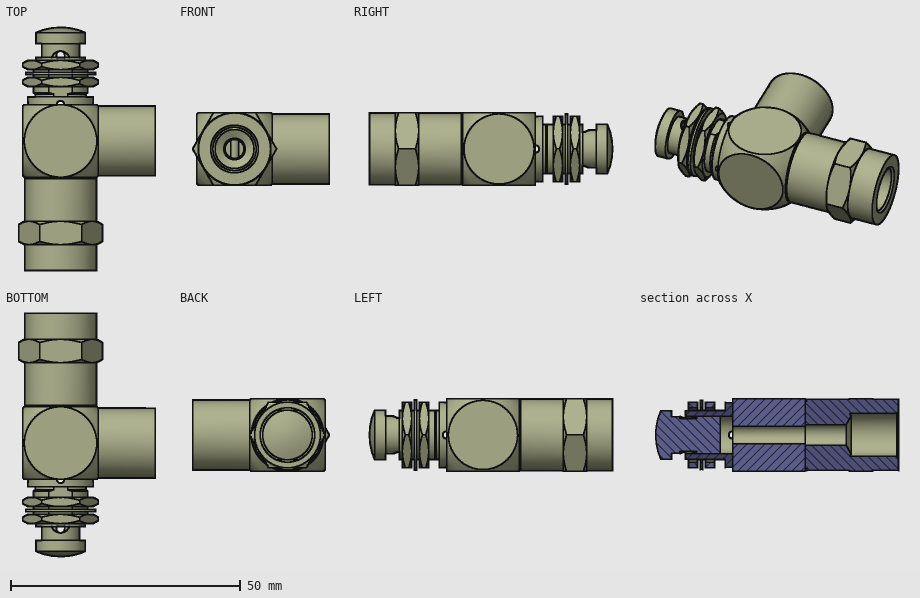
import cadquery as cq
import math


block_width = 16.55
block_side = 15.85
block_sphere_radius = 11.2
port_radius = 7.65
port_end = 20.7
passage_radius = 2.05
block_back = block_side / 2
block_front = -block_back

total_length = 53.05
button_top = 24.75
coupling_end = button_top - total_length

hex_chamfer_angle = math.radians(30)

coupling_radius = 7.85
coupling_neck_radius = 7.5
coupling_neck_length = 0.25
coupling_hex_flats = block_side
coupling_hex_length = 5.1
coupling_hex_front = coupling_end + 5.7
bore_radius = 4.7
bore_mouth_radius = 5.2
bore_mouth_depth = 0.5
bore_depth = 10.6
seat_rim_radius = 4.25
seat_rim_height = 0.25
seat_slope = math.radians(30)
seat_hole_radius = 2.35

head_radius = 5.4
dome_height = 1.15
head_bottom = button_top - 3.55
stem_radius = 4.15
stem_length = 10.6
stem_end = head_bottom - stem_length
slot_width = 1.75
slot_top = button_top - 5.2
spotface_radius = 2.0
spotface_height = 3.6

collar_radius = 7.15
collar_length = 1.65
collar_top = block_back + collar_length
neck_radius = 5.55
neck_top = collar_top + 0.65
thread_radius = 5.95
thread_chamfer_length = 0.3
bushing_flat_height = 5.35
pilot_radius = 5.4
bushing_top = button_top - 6.6
pilot_bottom = bushing_top - 1.0
vent_radius = 0.8

nut_flats = 14.3
nut_thickness = 2.0
nut_spacing = 3.7
lower_nut_front = button_top - 12.95
nut_count = 2
washer_radius = 7.65
washer_thickness = 0.6
washer_front = button_top - 10.35

pin_radius = slot_width / 2
pin_y = lower_nut_front + nut_thickness / 2


def cylinder_y(radius, start, end):
    """Cylinder on the Y axis from start to end."""
    return cq.Workplane("XZ", origin=(0, start, 0)).circle(radius).extrude(start - end)


def cylinder_z(radius, y):
    """Long cylinder along Z through the button axis, used as a cutter."""
    return cq.Workplane("XY").center(0, y).circle(radius).extrude(total_length / 2, both=True)


def revolve_y(outline):
    """Close an outline drawn in the XY plane and turn it about the Y axis."""
    return outline.close().revolve(360, (0, 0, 0), (0, 1, 0))


def hexagon(flats, start, length):
    """Hexagon along Y with corners on the X axis and both ends chamfered from the flats out."""
    flat_radius = flats / 2
    corner_radius = flat_radius / math.cos(math.pi / 6)
    chamfer = (corner_radius - flat_radius) * math.tan(hex_chamfer_angle)
    end = start + length
    prism = cq.Workplane("XZ", origin=(0, start, 0)).polygon(6, 2 * corner_radius).extrude(-length)
    envelope = revolve_y(
        cq.Workplane("XY")
        .moveTo(0, start)
        .lineTo(flat_radius, start)
        .lineTo(corner_radius, start + chamfer)
        .lineTo(corner_radius, end - chamfer)
        .lineTo(flat_radius, end)
        .lineTo(0, end)
    )
    return prism.intersect(envelope)


def make_valve_block():
    """Ball-cornered block with a plain round side port and a passage along Y."""
    block = cq.Workplane("XY").box(block_width, block_side, block_side)
    block = block.intersect(cq.Workplane("XY").sphere(block_sphere_radius))
    port = cq.Workplane("YZ").circle(port_radius).extrude(port_end)
    passage = cylinder_y(passage_radius, block_front, block_back)
    return block.union(port).cut(passage)


def make_coupling():
    """Round sleeve with a hexagon, a short neck at the block and a conical seat in its bore."""
    neck_front = block_front - coupling_neck_length
    sleeve = cylinder_y(coupling_radius, coupling_end, neck_front)
    neck = cylinder_y(coupling_neck_radius, neck_front, block_front)
    grip = hexagon(coupling_hex_flats, coupling_hex_front, coupling_hex_length)

    bore_floor = coupling_end + bore_depth
    rim = bore_floor - seat_rim_height
    seat_end = rim + (seat_rim_radius - seat_hole_radius) * math.tan(seat_slope)
    bore = revolve_y(
        cq.Workplane("XY")
        .moveTo(0, coupling_end)
        .lineTo(bore_mouth_radius, coupling_end)
        .lineTo(bore_radius, coupling_end + bore_mouth_depth)
        .lineTo(bore_radius, bore_floor)
        .lineTo(seat_rim_radius, rim)
        .lineTo(seat_hole_radius, seat_end)
        .lineTo(seat_hole_radius, block_front)
        .lineTo(0, block_front)
    )
    return sleeve.union(neck).union(grip).cut(bore)


def make_bushing():
    """Threaded sleeve with a vented collar, two flats and holes for the guide pin."""
    thread_bottom = neck_top + thread_chamfer_length
    bushing = revolve_y(
        cq.Workplane("XY")
        .moveTo(stem_radius, collar_top)
        .lineTo(neck_radius, collar_top)
        .lineTo(neck_radius, neck_top)
        .lineTo(thread_radius, thread_bottom)
        .lineTo(thread_radius, pilot_bottom)
        .lineTo(pilot_radius, pilot_bottom)
        .lineTo(pilot_radius, bushing_top)
        .lineTo(stem_radius, bushing_top)
    )
    between_flats = cq.Workplane("XY").box(total_length, total_length, 2 * bushing_flat_height)
    bushing = bushing.intersect(between_flats)

    collar = cylinder_y(collar_radius, block_back, collar_top)
    collar = collar.cut(cylinder_y(stem_radius, block_back, collar_top))
    vent_z = cylinder_z(vent_radius, block_back)
    vent_x = vent_z.rotate((0, 0, 0), (0, 1, 0), 90)
    return bushing.union(collar).cut(vent_z).cut(vent_x).cut(cylinder_z(pin_radius, pin_y))


def make_button():
    """Domed button whose stem is slotted from its end and spotfaced around the slot top."""
    dome_base = button_top - dome_height
    dome_radius = (head_radius**2 + dome_height**2) / (2 * dome_height)
    dome_middle_x = head_radius / 2
    dome_middle_y = button_top - dome_radius + math.sqrt(dome_radius**2 - dome_middle_x**2)
    button = revolve_y(
        cq.Workplane("XY")
        .moveTo(0, stem_end)
        .lineTo(stem_radius, stem_end)
        .lineTo(stem_radius, head_bottom)
        .lineTo(head_radius, head_bottom)
        .lineTo(head_radius, dome_base)
        .threePointArc((dome_middle_x, dome_middle_y), (0, button_top))
    )

    slot_center = slot_top - slot_width / 2
    slot_length = slot_center - stem_end
    slot = (
        cq.Workplane("XY")
        .center(0, stem_end + slot_length / 2)
        .rect(slot_width, slot_length)
        .extrude(stem_radius, both=True)
    )
    button = button.cut(slot).cut(cylinder_z(slot_width / 2, slot_center))

    core = cq.Workplane("XY").box(total_length, total_length, 2 * spotface_height)
    spotfaces = cylinder_z(spotface_radius, slot_top - spotface_radius).cut(core)
    return button.cut(spotfaces)


def make_nut(front):
    """Thin hexagon nut on the bushing thread."""
    bore = cylinder_y(thread_radius, front, front + nut_thickness)
    return hexagon(nut_flats, front, nut_thickness).cut(bore)


def make_washer():
    """Flat ring between the nuts."""
    back = washer_front + washer_thickness
    return cylinder_y(washer_radius, washer_front, back).cut(cylinder_y(thread_radius, washer_front, back))


def make_guide_pin():
    """Cross pin in the button slot, its ends flush with the bushing flats."""
    pin = cq.Workplane("XY", origin=(0, pin_y, -bushing_flat_height))
    return pin.circle(pin_radius).extrude(2 * bushing_flat_height)


valve_block = make_valve_block()
coupling = make_coupling()
bushing = make_bushing()
button = make_button()
washer = make_washer()
guide_pin = make_guide_pin()
nuts = [make_nut(lower_nut_front + i * nut_spacing) for i in range(nut_count)]

result = cq.Compound.makeCompound([
    valve_block.val(),
    coupling.val(),
    bushing.val(),
    button.val(),
    washer.val(),
    guide_pin.val(),
    *[nut.val() for nut in nuts],
])